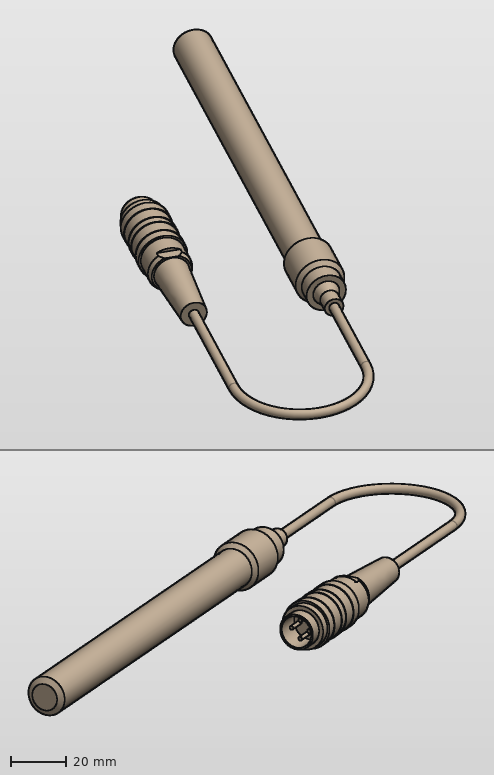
import cadquery as cq

tilt_angle = -13.1
bend_diameter = 50.0
bend_radius = bend_diameter / 2
cable_d = 3.8
probe_axis_y = bend_radius
connector_axis_y = -bend_radius

probe_d = 15.0
probe_tip_d = 10.2
probe_length = 180.1
tip_chamfer_length = 1.5
collar_d = 18.5
collar_length = 18.5
collar_chamfer = (collar_d - probe_d) / 2
collar_rear_land = 6.2
spigot_d = 7.0
spigot_base_d = 10.0
spigot_taper_length = 4.0
spigot_length = 10.0
probe_outlet_x = -40.0
probe_tip_x = probe_outlet_x - probe_length

nose_d = 13.5
nose_bore_d = 12.0
nose_length = 4.7
nose_bore_depth = 9.5
shoulder_d = 16.8
shoulder_edge_d = 15.1
front_shoulder_length = 3.3
rear_shoulder_length = 11.1
rear_chamfer_length = 2.1
grip_d = 18.5
grip_groove_d = 18.0
grip_groove_width = 5.7
grip_end_rib_width = 4.0
grip_middle_rib_width = 3.3
flat_length = 4.0
flats_across = 14.2
boot_front_d = 13.5
boot_rear_d = 10.0
boot_length = 28.0
boot_rear_x = -50.2
pin_count = 4
pin_circle_d = 7.0
pin_d = 1.5
pin_recess = 2.8


def turned(start_x, axis_y, steps):
    """Solid of revolution about a line along X; each step is (length, start d, end d)."""
    points = [(start_x, axis_y)]
    x = start_x
    for length, start_d, end_d in steps:
        points.append((x, axis_y + start_d / 2))
        x += length
        points.append((x, axis_y + end_d / 2))
    points.append((x, axis_y))
    outline = list(dict.fromkeys(points))
    profile = cq.Workplane("XY").polyline(outline).close()
    return profile.revolve(360, (start_x, axis_y, 0), (x, axis_y, 0))


def tilted(body):
    """Turn a body from the X direction to the part's slanting axes."""
    return body.rotate((0, 0, 0), (0, 0, 1), tilt_angle)


def make_probe():
    """Round probe tube with a chamfered tip, a collar and a stepped cable spigot."""
    tube_length = probe_length - tip_chamfer_length - collar_length - collar_rear_land - spigot_length
    collar_land_length = collar_length - 2 * collar_chamfer
    body = turned(probe_tip_x, probe_axis_y, [
        (tip_chamfer_length, probe_tip_d, probe_d),
        (tube_length, probe_d, probe_d),
        (collar_chamfer, probe_d, collar_d),
        (collar_land_length, collar_d, collar_d),
        (collar_chamfer, collar_d, probe_d),
        (collar_rear_land, probe_d, probe_d),
        (spigot_taper_length, spigot_base_d, spigot_d),
        (spigot_length - spigot_taper_length, spigot_d, spigot_d),
    ])
    return tilted(body)


def make_cable():
    """Round cable from the probe's spigot, round the bend, to the connector's boot."""
    path = (
        cq.Workplane("XY")
        .moveTo(probe_outlet_x, probe_axis_y)
        .lineTo(0, probe_axis_y)
        .threePointArc((bend_radius, 0), (0, connector_axis_y))
        .lineTo(boot_rear_x, connector_axis_y)
    )
    section = cq.Workplane("YZ", origin=(probe_outlet_x, probe_axis_y, 0)).circle(cable_d / 2)
    return tilted(section.sweep(path))


def make_connector():
    """Plug with an open nose, a ribbed grip and a tapering boot."""
    grip_length = 2 * (grip_end_rib_width + grip_groove_width) + grip_middle_rib_width
    grip_rear_x = boot_rear_x - boot_length - rear_shoulder_length
    grip_front_x = grip_rear_x - grip_length
    nose_x = grip_front_x - front_shoulder_length - nose_length

    body = turned(nose_x, connector_axis_y, [
        (nose_length, nose_d, nose_d),
        (front_shoulder_length, shoulder_d, shoulder_d),
        (grip_end_rib_width, grip_d, grip_d),
        (grip_groove_width, grip_groove_d, grip_groove_d),
        (grip_middle_rib_width, grip_d, grip_d),
        (grip_groove_width, grip_groove_d, grip_groove_d),
        (grip_end_rib_width, grip_d, grip_d),
        (rear_shoulder_length - rear_chamfer_length, shoulder_d, shoulder_d),
        (rear_chamfer_length, shoulder_d, shoulder_edge_d),
        (boot_length, boot_front_d, boot_rear_d),
    ])

    flat_middle_x = boot_rear_x - boot_length - flat_length / 2
    for side in (1, -1):
        cutter_z = side * (flats_across + grip_d) / 2
        cutter = cq.Workplane("XY").box(flat_length, grip_d, grip_d)
        body = body.cut(cutter.translate((flat_middle_x, connector_axis_y, cutter_z)))

    mouth = cq.Workplane("YZ", origin=(nose_x, connector_axis_y, 0))
    body = body.cut(mouth.circle(nose_bore_d / 2).extrude(nose_bore_depth))
    pins = (
        mouth.workplane(offset=pin_recess)
        .polarArray(pin_circle_d / 2, 0, 360, pin_count)
        .circle(pin_d / 2)
        .extrude(nose_bore_depth - pin_recess)
    )
    return tilted(body.union(pins))


probe = make_probe()
cable = make_cable()
connector = make_connector()

result = cq.Compound.makeCompound([probe.val(), cable.val(), connector.val()])